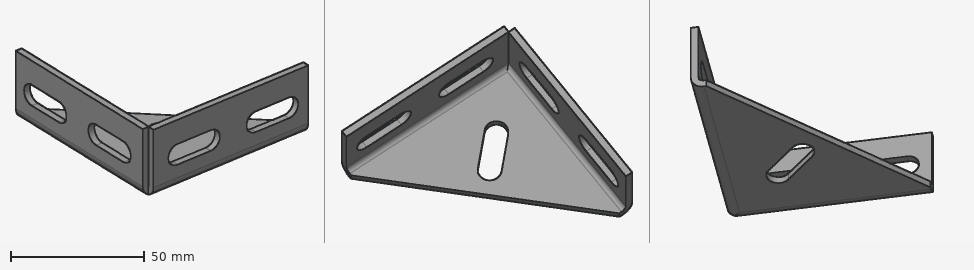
import cadquery as cq

side = 78.0
height = 30.0
thickness = 3.0
inner_bend_radius = 2.0
outer_bend_radius = inner_bend_radius + thickness
diagonal_setback = 5.9
corner_overlap = 0.15

slot_length = 25.0
slot_width = 9.0
wall_slot_centers = (-21.5, 16.45)
base_slot_offset = 10.15

half = side / 2
wall_inner = half - thickness


def corner_block(reach, floor, bend_radius):
    """Block filling the +X, -Y corner out to reach, with its two bottom edges rounded."""
    width = half + reach
    return (
        cq.Workplane("XY", origin=(-half, -reach, floor))
        .box(width, width, height - floor, centered=False)
        .edges("(<Z and >X) or (<Z and <Y)")
        .fillet(bend_radius)
    )


def slot_cutter(plane, center, angle=0):
    """Slot prism passing through the sheet on both sides of the given plane."""
    return (
        cq.Workplane(plane, origin=center)
        .slot2D(slot_length, slot_width, angle)
        .extrude(thickness, both=True)
    )


outside = corner_block(half, 0, outer_bend_radius)
inside = corner_block(wall_inner, thickness, inner_bend_radius)
bracket = outside.cut(inside)

notch_width = thickness - corner_overlap
notch = cq.Workplane("XY", origin=(wall_inner, -half, 0)).box(
    thickness, notch_width, height, centered=False
)
bracket = bracket.cut(notch)

diagonal_cutter = (
    cq.Workplane("XY")
    .moveTo(-half, -half + diagonal_setback)
    .lineTo(half - diagonal_setback, half)
    .lineTo(-half, half)
    .close()
    .extrude(height)
)
bracket = bracket.cut(diagonal_cutter)

for along in wall_slot_centers:
    bracket = bracket.cut(slot_cutter("XZ", (along, -half, height / 2)))
    bracket = bracket.cut(slot_cutter("YZ", (half, -along, height / 2)))
bracket = bracket.cut(slot_cutter("XY", (base_slot_offset, -base_slot_offset, 0), -45))

result = bracket